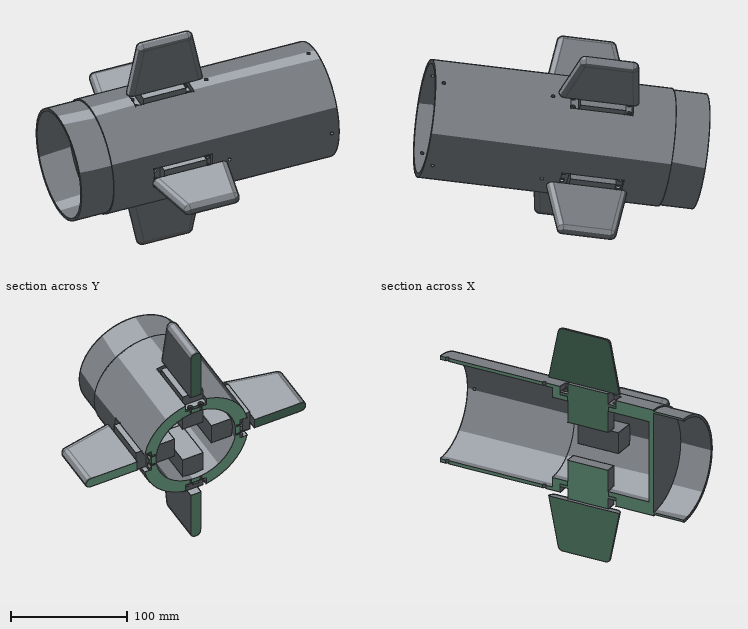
import cadquery as cq
import math

total_length = 240
body_diameter = 102.0
bore_diameter = 95.0

spigot_diameter = 99.5
spigot_length = 29.8
bulkhead_thickness = 4.8
bay_end_y = 129.5
bay_bore_diameter = 76.8

side_count = 4
bolt_hole_diameter = 3.0
bolt_hole_positions = (137.5, 233.0)

servo_center_y = 94.5
servo_width = 20.0
servo_case_length = 39.8
servo_flange_length = 54.5
servo_top_radius = 55.5
servo_bottom_radius = 18.0
flange_top_radius = 45.5
flange_thickness = 2.5
screw_hole_diameter = 4.5
screw_spacing_across = 10.0
screw_spacing_along = 49.5
pilot_hole_diameter = 1.87
pilot_hole_depth = 3.5

fin_center_y = 98.5
fin_root_radius = 57.0
fin_tip_radius = 107.0
fin_root_chord = 70.0
fin_tip_chord = 50.0
fin_thickness = 10.0

flange_bottom_radius = flange_top_radius - flange_thickness


def cylinder_along_y(diameter, start_y, length):
    """Solid cylinder on the body axis, running from start_y toward +Y."""
    return cq.Workplane("XZ", origin=(0, start_y, 0)).circle(diameter / 2).extrude(-length)


def box_above(bottom_z, top_z, center_y, width, length):
    """Box on the +Z side, centred on X = 0 and on center_y."""
    return (
        cq.Workplane("XY", origin=(0, center_y, bottom_z))
        .rect(width, length)
        .extrude(top_z - bottom_z)
    )


def around_body(part):
    """Copies of a +Z part, turned evenly about the body axis."""
    step = 360 / side_count
    return [part.rotate((0, 0, 0), (0, 1, 0), i * step) for i in range(side_count)]


def make_screw_holes(diameter, bottom_z, depth):
    """Four cylinders on the screw pattern of the +Z servo flange."""
    return (
        cq.Workplane("XY", origin=(0, servo_center_y, bottom_z))
        .rect(screw_spacing_across, screw_spacing_along, forConstruction=True)
        .vertices()
        .circle(diameter / 2)
        .extrude(depth)
    )


def make_body():
    """Hollow tube with a reduced spigot, a bulkhead, a servo bay and bolt holes."""
    spigot = cylinder_along_y(spigot_diameter, 0, spigot_length)
    tube = cylinder_along_y(body_diameter, spigot_length, total_length - spigot_length)
    body = spigot.union(tube)

    bay_start_y = spigot_length + bulkhead_thickness
    body = body.cut(cylinder_along_y(bore_diameter, 0, spigot_length))
    body = body.cut(cylinder_along_y(bay_bore_diameter, bay_start_y, bay_end_y - bay_start_y))
    body = body.cut(cylinder_along_y(bore_diameter, bay_end_y, total_length - bay_end_y))

    flange_slot = box_above(
        flange_bottom_radius, body_diameter, servo_center_y, servo_width, servo_flange_length
    )
    case_slot = box_above(
        servo_bottom_radius, body_diameter, servo_center_y, servo_width, servo_case_length
    )
    pilot_holes = make_screw_holes(
        pilot_hole_diameter, flange_bottom_radius - pilot_hole_depth, pilot_hole_depth
    )
    bolt_holes = (
        cq.Workplane("XY")
        .pushPoints([(0, y) for y in bolt_hole_positions])
        .circle(bolt_hole_diameter / 2)
        .extrude(body_diameter)
    )
    for feature in (flange_slot, case_slot, pilot_holes, bolt_holes):
        for cutter in around_body(feature):
            body = body.cut(cutter)
    return body


def make_servo():
    """Servo on the +Z side: a case through a flange with four screw holes."""
    case = box_above(
        servo_bottom_radius, servo_top_radius, servo_center_y, servo_width, servo_case_length
    )
    flange = box_above(
        flange_bottom_radius, flange_top_radius, servo_center_y, servo_width, servo_flange_length
    )
    screw_holes = make_screw_holes(screw_hole_diameter, flange_bottom_radius, flange_thickness)
    return case.union(flange).cut(screw_holes)


def make_fin():
    """Tapered fin on the +Z side with fully rounded side and tip edges."""
    radius = fin_thickness / 2
    span = fin_tip_radius - fin_root_radius
    slope = (fin_root_chord - fin_tip_chord) / 2 / span
    inset = radius * math.sqrt(1 + slope**2)
    root_half = fin_root_chord / 2 - inset
    tip_axis_radius = fin_tip_radius - radius
    tip_half = root_half - slope * (span - radius)
    overrun = radius
    low_half = root_half + slope * overrun
    low_radius = fin_root_radius - overrun

    corners = [
        cq.Vector(0, fin_center_y - low_half, low_radius),
        cq.Vector(0, fin_center_y - tip_half, tip_axis_radius),
        cq.Vector(0, fin_center_y + tip_half, tip_axis_radius),
        cq.Vector(0, fin_center_y + low_half, low_radius),
    ]
    fin = (
        cq.Workplane("YZ")
        .polyline([(c.y, c.z) for c in corners])
        .close()
        .extrude(radius, both=True)
    )
    for start, end in zip(corners, corners[1:]):
        edge = end - start
        fin = fin.union(cq.Workplane(cq.Solid.makeCylinder(radius, edge.Length, start, edge)))
    for corner in corners[1:3]:
        fin = fin.union(cq.Workplane("XY", origin=corner.toTuple()).sphere(radius))
    below_root = box_above(0, fin_root_radius, fin_center_y, fin_thickness * 2, fin_root_chord * 2)
    return fin.cut(below_root)


body = make_body()
servos = around_body(make_servo())
fins = around_body(make_fin())

result = cq.Compound.makeCompound(
    [body.val()] + [servo.val() for servo in servos] + [fin.val() for fin in fins]
)